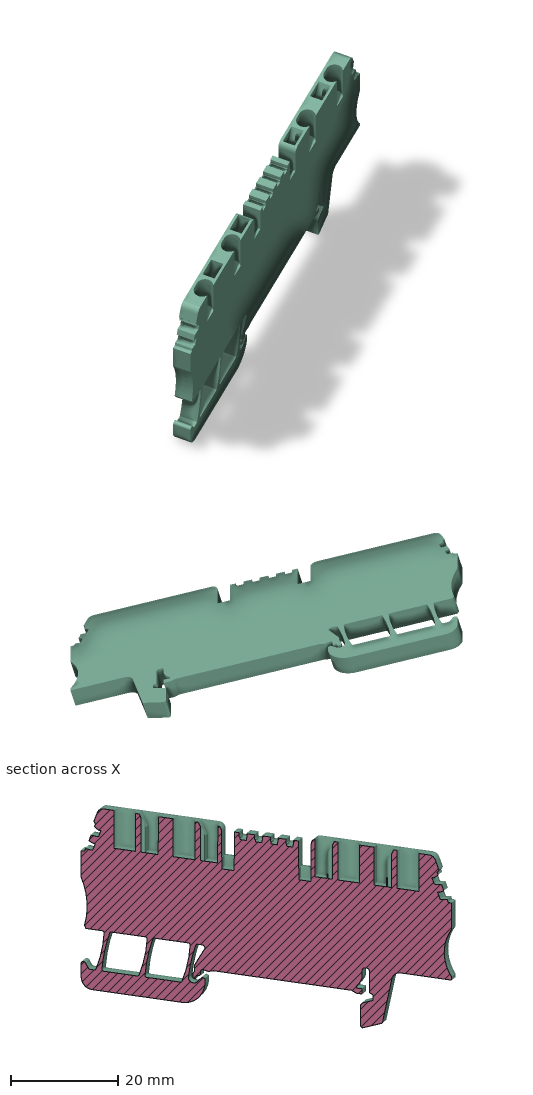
import cadquery as cq

LENGTH = 75.15
HEIGHT = 36.2
THICKNESS = 3.5
HALF_LENGTH = LENGTH / 2
HALF_THICKNESS = THICKNESS / 2
FULL_X = (-HALF_THICKNESS, HALF_THICKNESS)
MARGIN = 0.75

BODY_BOTTOM = 11.95
RAIL_SEAT = 7.15

SCALLOP_TOP = 22.0
SCALLOP_BOTTOM = 12.6
TRIMMED_HALF_LENGTH = 36.9

GAP_INNER = 19.45
FOOT_ROOT = 12.8

TRAY_TOP = 35.3
TRAY_HALF_LENGTH = 6.5
SLOT_OUTER = 9.0
SLOT_BOTTOM = 29.9
SLOT_LIP_RADIUS = 1.3
NOTCH_COUNT = 4
NOTCH_PITCH = 3.15
NOTCH_WIDTH = 1.5
NOTCH_BOTTOM = 34.4
NOTCH_RECESS_WIDTH = 1.2
NOTCH_RECESS_DEPTH = 0.45
LIP_EDGE = -1.5

UPPER_GROOVE = ((34.0, 31.7), (34.4, 30.6))
LOWER_GROOVE = ((35.1, 29.0), (35.6, 27.7))
LATCH_RECESS_DEPTH = 0.4

POCKET_LEFT = -1.2
POCKET_RIGHT = 1.3
SLOT_POCKET_LEFT = -1.0
SLOT_POCKET_DEPTH = 2.25
SLOT_POCKET_INSET = 0.1
CONTACT_PITCH = 12.0
JUMPER_INNER = 9.85
JUMPER_LENGTH = 3.9
JUMPER_RAMP_LENGTH = 1.35
JUMPER_RAMP_DROP = 2.55
JUMPER_DEPTH = 7.5
JUMPER_WALL_LEAN = 0.15
TEST_HOLE_DIAMETER = 0.75
TEST_HOLE_X = 0.2
TEST_HOLE_FROM_END = 0.8
WELL_CENTRE = 16.7
WELL_RADIUS = 1.6
WELL_X = POCKET_LEFT + WELL_RADIUS
WELL_LENGTH = 4.35
WELL_DEPTH = 7.5

FOOT_INNER = -12.4
FOOT_TOP = 5.4
FOOT_FLOOR = 4.05
LEG_COUNT = 3
LEG_PITCH = 8.7
LEG_WAIST = 8.3
LEG_INNER_SWAY = 1.05
LEG_OUTER_SWAY = 0.45
LEG_FILLET = 0.3
LEG_SPAN = (-36.1, -13.9)
CORNER_TOLERANCE = 0.1


def plate(points):
    """Full-thickness plate with a straight-sided outline of (Y, Z) points."""
    return cq.Workplane("YZ", origin=(-HALF_THICKNESS, 0, 0)).polyline(points).close().extrude(THICKNESS)


def outline(y, z):
    """Start a full-thickness outline at (y, z)."""
    return cq.Workplane("YZ", origin=(-HALF_THICKNESS, 0, 0)).moveTo(y, z)


def block(x_range, y_range, z_range):
    """Box spanning the three given ranges."""
    starts, ends = zip(*(sorted(span) for span in (x_range, y_range, z_range)))
    size = [end - start for start, end in zip(starts, ends)]
    return cq.Workplane("XY").box(*size, centered=False).translate(starts)


def shoulder_cut():
    """Material removed outside the +Y shoulder, leaving two latch grooves."""
    cut = outline(33.1, HEIGHT + MARGIN).lineTo(33.1, HEIGHT)
    cut = cut.threePointArc((33.8, 35.9), (34.3, 35.3))
    cut = cut.lineTo(35.0, 33.4).lineTo(34.65, 32.9).lineTo(34.9, 32.45)
    cut = cut.lineTo(*UPPER_GROOVE[0]).lineTo(*UPPER_GROOVE[1]).lineTo(35.55, 30.65)
    cut = cut.lineTo(36.0, 29.45).lineTo(*LOWER_GROOVE[0]).lineTo(*LOWER_GROOVE[1])
    cut = cut.lineTo(36.7, 27.9).lineTo(36.8, 27.35).lineTo(HALF_LENGTH, 27.3)
    return (
        cut.lineTo(HALF_LENGTH + MARGIN, 27.3)
        .lineTo(HALF_LENGTH + MARGIN, HEIGHT + MARGIN)
        .close()
        .extrude(THICKNESS)
    )


def end_scallop(top, middle, bottom):
    """Shallow arc cut out of one end face."""
    return outline(*top).threePointArc(middle, bottom).close().extrude(THICKNESS)


def body():
    """Upper housing with shoulders, slots and notched tray."""
    solid = block(FULL_X, (-HALF_LENGTH, HALF_LENGTH), (BODY_BOTTOM, HEIGHT))
    shoulder = shoulder_cut()
    solid = solid.cut(shoulder).cut(shoulder.mirror("XZ"))
    solid = solid.cut(block(FULL_X, (-SLOT_OUTER, SLOT_OUTER), (TRAY_TOP, HEIGHT)))
    for side in (-1, 1):
        solid = solid.cut(
            block(FULL_X, (side * TRAY_HALF_LENGTH, side * SLOT_OUTER), (SLOT_BOTTOM, HEIGHT))
        )
        lip = cq.selectors.NearestToPointSelector((0, side * SLOT_OUTER, HEIGHT))
        solid = solid.edges(lip).fillet(SLOT_LIP_RADIUS)
    solid = solid.cut(end_scallop((HALF_LENGTH, SCALLOP_TOP), (36.1, 17.4), (HALF_LENGTH, SCALLOP_BOTTOM)))
    trim = [
        (-HALF_LENGTH, SCALLOP_TOP),
        (-TRIMMED_HALF_LENGTH, SCALLOP_BOTTOM),
        (-36.6, BODY_BOTTOM),
        (-HALF_LENGTH, BODY_BOTTOM),
    ]
    solid = solid.cut(plate(trim))
    trimmed_bottom = (-TRIMMED_HALF_LENGTH, SCALLOP_BOTTOM)
    return solid.cut(end_scallop((-HALF_LENGTH, SCALLOP_TOP), (-36.4, 16.1), trimmed_bottom))


def rail_seat():
    """Lower part that rests on the rail, hooked at both ends."""
    return (
        outline(GAP_INNER, BODY_BOTTOM)
        .lineTo(GAP_INNER, 10.15)
        .threePointArc((18.9, 8.95), (18.25, 8.2))
        .lineTo(18.25, 7.8)
        .lineTo(GAP_INNER, 7.8)
        .lineTo(GAP_INNER, 6.7)
        .lineTo(18.25, 6.7)
        .lineTo(17.3, RAIL_SEAT)
        .lineTo(-10.75, RAIL_SEAT)
        .lineTo(-11.8, 6.85)
        .lineTo(-12.9, RAIL_SEAT)
        .lineTo(-13.3, 6.85)
        .lineTo(-13.4, 5.8)
        .lineTo(-14.1, 5.8)
        .lineTo(-14.3, 5.1)
        .lineTo(-14.95, 5.1)
        .lineTo(-14.95, 6.15)
        .lineTo(-14.65, 6.45)
        .lineTo(-14.6, 7.8)
        .lineTo(-12.7, 11.05)
        .threePointArc((-12.55, 11.6), (-12.9, BODY_BOTTOM))
        .close()
        .extrude(THICKNESS)
    )


def fixed_foot():
    """Rigid hook on the +Y side, which grips the rail edge."""
    return (
        outline(27.2, BODY_BOTTOM)
        .threePointArc((26.1, 11.6), (25.5, 10.7))
        .lineTo(23.5, 1.5)
        .lineTo(19.45, 0)
        .lineTo(19.0, 0.3)
        .lineTo(19.0, 4.4)
        .threePointArc((19.3, 4.9), (19.7, 5.1))
        .lineTo(21.5, 5.8)
        .lineTo(21.5, 6.9)
        .lineTo(20.8, 7.15)
        .lineTo(20.8, 11.6)
        .threePointArc((20.1, 12.0), (GAP_INNER, 11.6))
        .lineTo(GAP_INNER, FOOT_ROOT)
        .lineTo(27.2, FOOT_ROOT)
        .close()
        .extrude(THICKNESS)
    )


def leg(shift):
    """Slanted spring leg, slightly waisted, from the body down to the foot bar."""
    top_inner = -14.2 - shift
    top_outer = -15.5 - shift
    foot_inner = -15.85 - shift
    foot_outer = -17.2 - shift
    return (
        outline(top_inner, BODY_BOTTOM)
        .threePointArc((top_inner - LEG_INNER_SWAY, LEG_WAIST), (foot_inner, FOOT_FLOOR))
        .lineTo(foot_outer, FOOT_FLOOR)
        .threePointArc((top_outer - LEG_OUTER_SWAY, LEG_WAIST), (top_outer, BODY_BOTTOM))
        .close()
        .extrude(THICKNESS)
    )


def spring_foot():
    """Foot bar on the -Y side hung from three spring legs."""
    bar = (
        outline(FOOT_INNER, FOOT_TOP)
        .lineTo(FOOT_INNER, 4.3)
        .threePointArc((-13.75, 1.4), (-16.5, 0))
        .lineTo(-35.3, 0)
        .threePointArc((-36.9, 0.7), (-HALF_LENGTH, 2.25))
        .lineTo(-HALF_LENGTH, 5.0)
        .threePointArc((-37.05, FOOT_TOP), (-36.5, 4.95))
        .lineTo(-35.9, FOOT_FLOOR)
        .lineTo(-16.4, FOOT_FLOOR)
        .lineTo(-16.4, 5.1)
        .lineTo(-15.8, 5.1)
        .threePointArc((-15.0, 4.3), (-14.05, 4.6))
        .lineTo(-13.0, 5.6)
        .close()
        .extrude(THICKNESS)
    )
    for index in range(LEG_COUNT):
        bar = bar.union(leg(index * LEG_PITCH))
    return bar


def latch_recess(upper, lower):
    """Deeper pocket behind a lip in a +Y latch groove; upper and lower are the ends of the groove floor."""
    inward = [(y - LATCH_RECESS_DEPTH, z) for y, z in (lower, upper)]
    return (
        cq.Workplane("YZ", origin=(POCKET_LEFT, 0, 0))
        .polyline([upper, lower, *inward])
        .close()
        .extrude(HALF_THICKNESS - POCKET_LEFT)
    )


def marker_notch(y):
    """Notch across the tray with a deeper recess behind a lip at -X."""
    notch = block(FULL_X, (y - NOTCH_WIDTH / 2, y + NOTCH_WIDTH / 2), (NOTCH_BOTTOM, TRAY_TOP))
    recess = (
        cq.Workplane("XZ", origin=(0, y + NOTCH_RECESS_WIDTH / 2, 0))
        .moveTo(LIP_EDGE, NOTCH_BOTTOM)
        .lineTo(POCKET_LEFT, NOTCH_BOTTOM - NOTCH_RECESS_DEPTH)
        .lineTo(HALF_THICKNESS, NOTCH_BOTTOM - NOTCH_RECESS_DEPTH)
        .lineTo(HALF_THICKNESS, NOTCH_BOTTOM)
        .close()
        .extrude(NOTCH_RECESS_WIDTH)
    )
    return notch.union(recess)


def slot_pocket(side):
    """Blind pocket in the floor of one slot."""
    return block(
        (SLOT_POCKET_LEFT, POCKET_RIGHT),
        (side * (TRAY_HALF_LENGTH + SLOT_POCKET_INSET), side * (SLOT_OUTER - SLOT_POCKET_INSET)),
        (SLOT_BOTTOM - SLOT_POCKET_DEPTH, SLOT_BOTTOM),
    )


def jumper_pocket(side, inner):
    """Rectangular pocket with an outer lead-in ramp and a round test hole in the ramp."""
    outer = inner + JUMPER_LENGTH
    ramp_end = outer - JUMPER_RAMP_LENGTH
    ramp_bottom = HEIGHT - JUMPER_RAMP_DROP
    floor = HEIGHT - JUMPER_DEPTH
    inner_lean = JUMPER_WALL_LEAN if side < 0 else 0
    outer_lean = JUMPER_WALL_LEAN if side > 0 else 0
    profile = [
        (side * inner, HEIGHT + MARGIN),
        (side * inner, HEIGHT),
        (side * (inner + inner_lean), floor),
        (side * (ramp_end - outer_lean), floor),
        (side * ramp_end, ramp_bottom),
        (side * outer, HEIGHT),
        (side * outer, HEIGHT + MARGIN),
    ]
    pocket = (
        cq.Workplane("YZ", origin=(POCKET_LEFT, 0, 0))
        .polyline(profile)
        .close()
        .extrude(POCKET_RIGHT - POCKET_LEFT)
    )
    hole = (
        cq.Workplane("XY", origin=(TEST_HOLE_X, side * (outer - TEST_HOLE_FROM_END), floor))
        .circle(TEST_HOLE_DIAMETER / 2)
        .extrude(JUMPER_DEPTH)
    )
    return pocket.union(hole)


def wire_well(y):
    """Oval well that breaks out through the +X face."""
    return (
        cq.Workplane("XY", origin=(WELL_X, y, HEIGHT - WELL_DEPTH))
        .slot2D(WELL_LENGTH, 2 * WELL_RADIUS, 90)
        .extrude(WELL_DEPTH + MARGIN)
    )


result = body().union(rail_seat()).union(fixed_foot()).union(spring_foot())

for level in (BODY_BOTTOM, FOOT_FLOOR):
    corners = cq.selectors.BoxSelector(
        (-THICKNESS, LEG_SPAN[0], level - CORNER_TOLERANCE),
        (THICKNESS, LEG_SPAN[1], level + CORNER_TOLERANCE),
    )
    result = result.edges("|X").edges(corners).fillet(LEG_FILLET)

for index in range(NOTCH_COUNT):
    result = result.cut(marker_notch((index - (NOTCH_COUNT - 1) / 2) * NOTCH_PITCH))
for groove in (UPPER_GROOVE, LOWER_GROOVE):
    recess = latch_recess(*groove)
    result = result.cut(recess).cut(recess.mirror("XZ"))
for side in (-1, 1):
    result = result.cut(slot_pocket(side))
    for offset in (0, CONTACT_PITCH):
        result = result.cut(jumper_pocket(side, JUMPER_INNER + offset))
        result = result.cut(wire_well(side * (WELL_CENTRE + offset)))